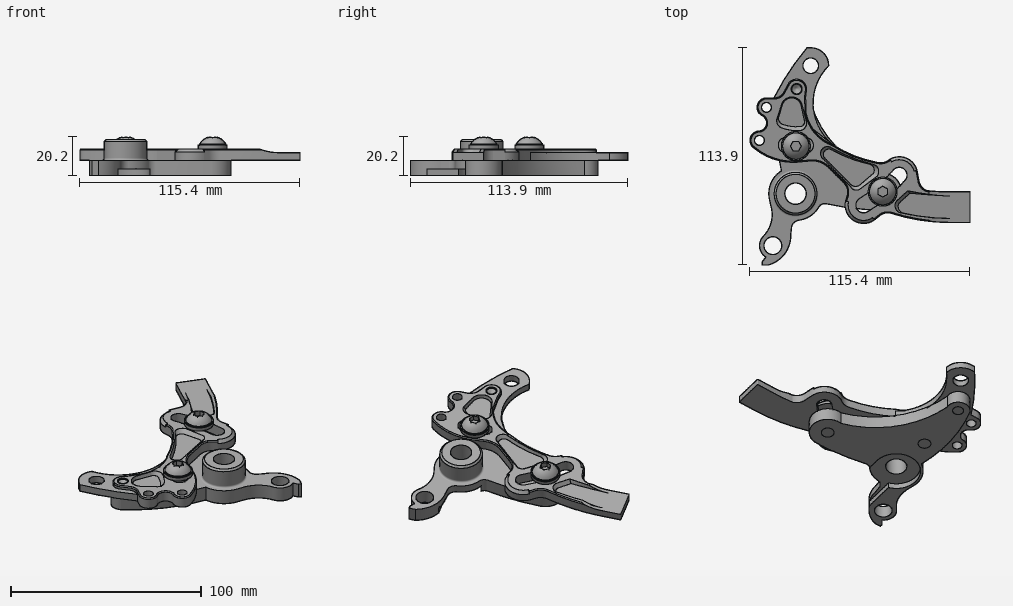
import cadquery as cq
import math


BASE_THICKNESS = 8.0
ARM_THICKNESS = 6.0
THIN_THICKNESS = 4.0
BOSS_HEIGHT = 11.0
WASHER_THICKNESS = 2.0
HEAD_RIM_HEIGHT = 0.6
HEAD_HEIGHT = 4.2

PIVOT = (0.6, 54.8)
PIN_RADIUS = 2.9
PIN_RECESS_RADIUS = 2.5
PIN_RECESS_DEPTH = 0.6
PIN_CONE_DEPTH = 1.5
SHANK_RADIUS = 3.3
HEAD_RADIUS = 6.9
SOCKET_FLATS = 5.0
SOCKET_DEPTH = 2.9
WASHER_RADIUS = 7.6
SLOT_HALF_WIDTH = 4.0
SLOT_HALF_ANGLE = 10.0
NEAR_CLAMP = (29.9, -90.8, 30.0)
FAR_CLAMP = (70.1, -50.0, 0.0)
CLAMPS = (NEAR_CLAMP, FAR_CLAMP)

BOSS_CENTRE = (0, 0)
BOSS_RADIUS = 11.2
BOSS_EDGE = 1.0
BORE_RADIUS = 5.5
COLLAR_RADIUS = 14.1
BASE_PIVOT_RADIUS = 6.2
BASE_CLAMP_RADIUS = 9.7
HANGER_HOLE = (-11.9, -27.2)
HANGER_HOLE_RADIUS = 4.6
HANGER_RADIUS = 7.0
RECESS_RADIUS = 12.7
RECESS_DEPTH = 3.5
RECESS_MOUTH_LEFT = -3.9
RECESS_MOUTH_LENGTH = 28.8

ARM_PIVOT_RADIUS = 5.2
SLOT_LOBE_RADIUS = 9.7
SLOT_LOBE_CHAMFER = 1.6
EDGE_CHAMFER = 0.6
EAR_RADIUS = 5.0
EAR_HOLE_RADIUS = 2.5
UPPER_EAR = (-15.2, 45.2)
LOWER_EAR = (-18.9, 27.9)
TAB_HOLE = (8.0, 67.0)
TAB_HOLE_RADIUS = 4.0
TAB_RADIUS = 9.5
TIP_END = 91.5
TIP_TOP = 1.0
TIP_BOTTOM = -15.1
TIP_CORNER = 0.3
RAIL_END = 80.5
RAIL_RUNOUT_RADIUS = 30.0


def polar(centre, radius, angle):
    """The point at a distance and direction (degrees) from a centre."""
    turn = math.radians(angle)
    return (centre[0] + radius * math.cos(turn), centre[1] + radius * math.sin(turn))


def arc(centre, radius, start, end):
    """The middle and end points of a round stretch, for use in an outline."""
    return (polar(centre, radius, (start + end) / 2), polar(centre, radius, end))


def trace(outline, start, stretches):
    """Closes an outline whose stretches are (end,) for a line or (middle, end) for an arc."""
    outline = outline.moveTo(*start)
    for stretch in stretches:
        if len(stretch) == 1:
            outline = outline.lineTo(*stretch[0])
        else:
            outline = outline.threePointArc(*stretch)
    return outline.close()


def plate(start, stretches, height):
    return trace(cq.Workplane("XY"), start, stretches).extrude(height)


def cylinder(centre, radius, bottom, top):
    return cq.Workplane("XY", origin=(*centre, bottom)).circle(radius).extrude(top - bottom)


def clamp_centre(clamp):
    distance, direction, _ = clamp
    return polar(PIVOT, distance, direction)


def slot_end(clamp, side):
    """The centre of one end of a clamp slot; side is -1 or 1."""
    distance, direction, _ = clamp
    return polar(PIVOT, distance, direction + side * SLOT_HALF_ANGLE)


def base_outline():
    lobe = clamp_centre(FAR_CLAMP)
    start = polar(BOSS_CENTRE, COLLAR_RADIUS, 122)
    stretches = [
        arc(BOSS_CENTRE, COLLAR_RADIUS, 122, 195),
        ((-12.6, -8.1),),
        ((-12.9, -15.5), polar(HANGER_HOLE, HANGER_RADIUS, 138)),
        arc(HANGER_HOLE, HANGER_RADIUS, 138, 238),
        ((-17.5, -35.8),),
        ((-17.5, -37.4),),
        ((-14.1, -37.4),),
        ((-6.5, -32.5), (-2.4, -21.2)),
        ((-2.0, -17.1),),
        ((-0.9, -15.3), polar(BOSS_CENTRE, COLLAR_RADIUS, -84)),
        arc(BOSS_CENTRE, COLLAR_RADIUS, -84, -28),
        ((14.0, -5.5), (15.9, -5.3)),
        ((30.0, -7.7), polar(lobe, BASE_CLAMP_RADIUS, -90)),
        arc(lobe, BASE_CLAMP_RADIUS, -90, 100),
        ((16.5, 30.3), polar(PIVOT, BASE_PIVOT_RADIUS, -10)),
        arc(PIVOT, BASE_PIVOT_RADIUS, -10, 157),
        ((-8.5, 17.3), start),
    ]
    return start, stretches


def make_base():
    base = plate(*base_outline(), -BASE_THICKNESS)

    boss = cylinder(BOSS_CENTRE, BOSS_RADIUS, 0, BOSS_HEIGHT).faces(">Z").chamfer(BOSS_EDGE)
    foot = (
        cq.Workplane("XZ")
        .moveTo(0, 0)
        .lineTo(BOSS_RADIUS + BOSS_EDGE, 0)
        .radiusArc((BOSS_RADIUS, BOSS_EDGE), BOSS_EDGE)
        .lineTo(0, BOSS_EDGE)
        .close()
        .revolve(360, (0, 0, 0), (0, 1, 0))
    )
    base = base.union(boss).union(foot)

    recess_top = RECESS_DEPTH - BASE_THICKNESS
    recess = cylinder(BOSS_CENTRE, RECESS_RADIUS, -BASE_THICKNESS, recess_top)
    mouth_corner = (RECESS_MOUTH_LEFT, -RECESS_MOUTH_LENGTH, -BASE_THICKNESS)
    mouth = cq.Workplane("XY", origin=mouth_corner).box(
        RECESS_RADIUS - RECESS_MOUTH_LEFT, RECESS_MOUTH_LENGTH, RECESS_DEPTH, centered=False
    )
    base = base.cut(recess).cut(mouth)

    holes = [(BOSS_CENTRE, BORE_RADIUS), (HANGER_HOLE, HANGER_HOLE_RADIUS), (PIVOT, PIN_RADIUS)]
    holes += [(clamp_centre(clamp), SHANK_RADIUS) for clamp in CLAMPS]
    for centre, radius in holes:
        base = base.cut(cylinder(centre, radius, -BASE_THICKNESS, BOSS_HEIGHT))
    return base


TAB_ROOT = (19.6, 25.6)
TAB_HEEL = (-11.4, 50.1)


def arm_outline():
    upper_lobe = slot_end(FAR_CLAMP, 1)
    lower_lobe = slot_end(FAR_CLAMP, -1)
    start = (TIP_END, TIP_TOP)
    stretches = [
        ((76.1, TIP_TOP),),
        ((69.0, 1.6),),
        ((66.1, 3.6), (64.8, 6.0)),
        (polar(upper_lobe, SLOT_LOBE_RADIUS, 15),),
        arc(upper_lobe, SLOT_LOBE_RADIUS, 15, 120),
        ((46.1, 16.4), (42.5, 16.5)),
        ((29.4, 20.4), TAB_ROOT),
        ((10.3, 32.3), (5.5, 42.1)),
        ((5.3, 50.8),),
        (polar(PIVOT, ARM_PIVOT_RADIUS, -8),),
        arc(PIVOT, ARM_PIVOT_RADIUS, -8, 143),
        ((-5.8, 53.9),),
        ((-7.8, 51.2), (-11.2, 50.2)),
        (polar(UPPER_EAR, EAR_RADIUS, 90),),
        arc(UPPER_EAR, EAR_RADIUS, 90, 236),
        ((-15.2, 36.9), polar(LOWER_EAR, EAR_RADIUS, 86)),
        arc(LOWER_EAR, EAR_RADIUS, 86, 236),
        ((-11.2, 18.0), (0.0, 16.4)),
        ((8.7, 17.2),),
        ((13.0, 16.4), (16.7, 14.2)),
        ((25.4, 5.5),),
        ((27.2, 1.7), (26.9, -1.6)),
        (polar(lower_lobe, SLOT_LOBE_RADIUS, 168),),
        arc(lower_lobe, SLOT_LOBE_RADIUS, 168, 306),
        ((43.8, -11.8),),
        ((46.6, -10.3), (50.0, -10.3)),
        ((63.5, -13.6), (RAIL_END, TIP_BOTTOM)),
        ((TIP_END, TIP_BOTTOM),),
    ]
    return start, stretches


def tab_outline():
    tab_end = polar(TAB_HOLE, TAB_RADIUS, 0)
    stretches = [
        ((-3.5, 63.8), (6.0, TAB_HOLE[1] + TAB_RADIUS)),
        (polar(TAB_HOLE, TAB_RADIUS, 90),),
        arc(TAB_HOLE, TAB_RADIUS, 90, 0),
        ((9.2, 47.3), TAB_ROOT),
    ]
    return TAB_HEEL, stretches


def lobe_chamfer(centre, start, sweep):
    """A ring of triangular section that bevels the rim of a slot lobe."""
    size = SLOT_LOBE_CHAMFER
    rim = SLOT_LOBE_RADIUS
    section = [
        (rim - size, ARM_THICKNESS),
        (rim + size, ARM_THICKNESS),
        (rim + size, ARM_THICKNESS - size),
        (rim, ARM_THICKNESS - size),
    ]
    ring = cq.Workplane("XZ").polyline(section).close().revolve(sweep, (0, 0, 0), (0, 1, 0))
    return ring.rotate((0, 0, 0), (0, 0, 1), start).translate((*centre, 0))


def clamp_slot(clamp):
    distance, direction, _ = clamp
    first = direction - SLOT_HALF_ANGLE
    last = direction + SLOT_HALF_ANGLE
    inner = distance - SLOT_HALF_WIDTH
    outer = distance + SLOT_HALF_WIDTH
    start = polar(PIVOT, inner, first)
    tangent = math.degrees(SLOT_HALF_WIDTH / distance)
    stretches = [
        (polar(PIVOT, distance, first - tangent), polar(PIVOT, outer, first)),
        arc(PIVOT, outer, first, last),
        (polar(PIVOT, distance, last + tangent), polar(PIVOT, inner, last)),
        arc(PIVOT, inner, last, first),
    ]
    return plate(start, stretches, ARM_THICKNESS)


def pocket(floor, mouth):
    """A pocket with sloping walls between a floor outline and a mouth outline."""
    outline = trace(cq.Workplane("XY", origin=(0, 0, THIN_THICKNESS)), *floor)
    outline = outline.workplane(offset=ARM_THICKNESS - THIN_THICKNESS)
    return trace(outline, *mouth).loft(ruled=True)


def pivot_pocket():
    floor_start = (-9.0, 39.5)
    floor = [
        ((-6.9, 46.5),),
        ((-2.0, 50.2), (2.8, 46.8)),
        ((4.5, 38.8),),
        ((3.9, 35.8), (2.1, 35.1)),
        ((-2.8, 35.3), (-6.9, 36.3)),
        ((-8.4, 37.7), floor_start),
    ]
    mouth_start = (-9.9, 38.8)
    mouth = [
        ((-7.4, 46.5),),
        ((-2.0, 50.6), (3.3, 46.8)),
        ((5.5, 38.5),),
        ((4.8, 34.4), (2.1, 33.0)),
        ((-3.0, 33.3), (-7.4, 34.5)),
        ((-9.3, 36.2), mouth_start),
    ]
    return pocket((floor_start, floor), (mouth_start, mouth))


def middle_pocket():
    floor_start = (15.7, 18.2)
    floor = [
        ((15.0, 22.0), (18.7, 23.1)),
        ((27.9, 18.7), (38.5, 15.5)),
        ((40.7, 14.1), (40.7, 10.6)),
        ((33.3, 4.3),),
        ((31.4, 3.8), (29.3, 4.5)),
        (floor_start,),
    ]
    mouth_start = (14.6, 18.1)
    mouth = [
        ((14.1, 23.5), (19.0, 23.9)),
        ((28.1, 19.5), (39.8, 15.6)),
        ((43.1, 13.4), (42.7, 9.1)),
        ((33.8, 2.4),),
        ((31.4, 1.8), (29.0, 3.6)),
        (mouth_start,),
    ]
    return pocket((floor_start, floor), (mouth_start, mouth))


def tip_pocket():
    upper_end = (RAIL_END, -1.3)
    lower_end = (RAIL_END, -12.9)
    floor = [
        ((69.2, -0.6), (59.9, 0.2)),
        ((54.2, -5.0),),
        ((53.9, -7.6), (56.1, -10.0)),
        ((66.9, -12.1), lower_end),
    ]
    mouth = [
        ((69.2, -0.2), (58.8, 1.5)),
        ((53.1, -3.7),),
        ((52.4, -7.6), (55.6, -10.2)),
        ((66.9, -12.0), lower_end),
    ]
    return pocket((upper_end, floor), (upper_end, mouth))


def tip_relief():
    """Thins the tip, with an arc that lets the pocket rails run out smoothly."""
    rise = ARM_THICKNESS - THIN_THICKNESS
    run = math.sqrt(RAIL_RUNOUT_RADIUS**2 - (RAIL_RUNOUT_RADIUS - rise) ** 2)
    return (
        cq.Workplane("XZ", origin=(0, TIP_TOP + 1.2, 0))
        .moveTo(RAIL_END - run, ARM_THICKNESS)
        .radiusArc((RAIL_END, THIN_THICKNESS), -RAIL_RUNOUT_RADIUS)
        .lineTo(TIP_END + 1.2, THIN_THICKNESS)
        .lineTo(TIP_END + 1.2, ARM_THICKNESS)
        .close()
        .extrude(TIP_TOP - TIP_BOTTOM + 2.3)
    )


def make_arm():
    wall_height = ARM_THICKNESS - EDGE_CHAMFER
    arm = plate(*arm_outline(), wall_height).faces(">X").edges("|Z").fillet(TIP_CORNER)
    bevel = cq.Workplane("XY", origin=(0, 0, wall_height))
    arm = arm.union(trace(bevel, *arm_outline()).extrude(EDGE_CHAMFER, taper=45))
    arm = arm.cut(lobe_chamfer(slot_end(FAR_CLAMP, 1), 15, 105))
    arm = arm.cut(lobe_chamfer(slot_end(FAR_CLAMP, -1), 168, 138))
    arm = arm.cut(tip_relief())
    arm = arm.union(plate(*tab_outline(), THIN_THICKNESS))
    for clamp in CLAMPS:
        arm = arm.cut(clamp_slot(clamp))
    for recess in (pivot_pocket(), middle_pocket(), tip_pocket()):
        arm = arm.cut(recess)
    holes = [
        (TAB_HOLE, TAB_HOLE_RADIUS),
        (UPPER_EAR, EAR_HOLE_RADIUS),
        (LOWER_EAR, EAR_HOLE_RADIUS),
        (PIVOT, PIN_RADIUS),
    ]
    for centre, radius in holes:
        arm = arm.cut(cylinder(centre, radius, 0, ARM_THICKNESS))
    return arm


def make_pivot_pin():
    recess_floor = ARM_THICKNESS - PIN_RECESS_DEPTH
    return (
        cq.Workplane("XZ")
        .moveTo(0, -BASE_THICKNESS)
        .lineTo(PIN_RADIUS, -BASE_THICKNESS)
        .lineTo(PIN_RADIUS, ARM_THICKNESS)
        .lineTo(PIN_RECESS_RADIUS, ARM_THICKNESS)
        .lineTo(PIN_RECESS_RADIUS, recess_floor)
        .lineTo(0, recess_floor - PIN_CONE_DEPTH)
        .close()
        .revolve(360, (0, 0, 0), (0, 1, 0))
        .translate((*PIVOT, 0))
    )


WASHER_TOP = ARM_THICKNESS + WASHER_THICKNESS


def make_washer(clamp):
    centre = clamp_centre(clamp)
    washer = cylinder(centre, WASHER_RADIUS, ARM_THICKNESS, WASHER_TOP)
    return washer.cut(cylinder(centre, SHANK_RADIUS, ARM_THICKNESS, WASHER_TOP))


def make_screw(clamp):
    rim = WASHER_TOP + HEAD_RIM_HEIGHT
    mouth = WASHER_TOP + HEAD_HEIGHT
    mouth_radius = SOCKET_FLATS / 2
    dome_centre = (mouth_radius**2 + mouth**2 - HEAD_RADIUS**2 - rim**2) / (2 * (mouth - rim))
    dome_radius = math.hypot(HEAD_RADIUS, rim - dome_centre)
    screw = (
        cq.Workplane("XZ")
        .moveTo(0, -BASE_THICKNESS)
        .lineTo(SHANK_RADIUS, -BASE_THICKNESS)
        .lineTo(SHANK_RADIUS, WASHER_TOP)
        .lineTo(HEAD_RADIUS, WASHER_TOP)
        .lineTo(HEAD_RADIUS, rim)
        .radiusArc((0, dome_centre + dome_radius), -dome_radius)
        .close()
        .revolve(360, (0, 0, 0), (0, 1, 0))
    )
    socket = (
        cq.Workplane("XY", origin=(0, 0, mouth - SOCKET_DEPTH))
        .polygon(6, SOCKET_FLATS, circumscribed=True)
        .extrude(2 * SOCKET_DEPTH)
        .rotate((0, 0, 0), (0, 0, 1), clamp[2])
    )
    return screw.cut(socket).translate((*clamp_centre(clamp), 0))


base = make_base()
arm = make_arm()
pivot_pin = make_pivot_pin()
washers = [make_washer(clamp) for clamp in CLAMPS]
screws = [make_screw(clamp) for clamp in CLAMPS]

result = cq.Compound.makeCompound(
    [base.val(), arm.val(), pivot_pin.val()]
    + [washer.val() for washer in washers]
    + [screw.val() for screw in screws]
)